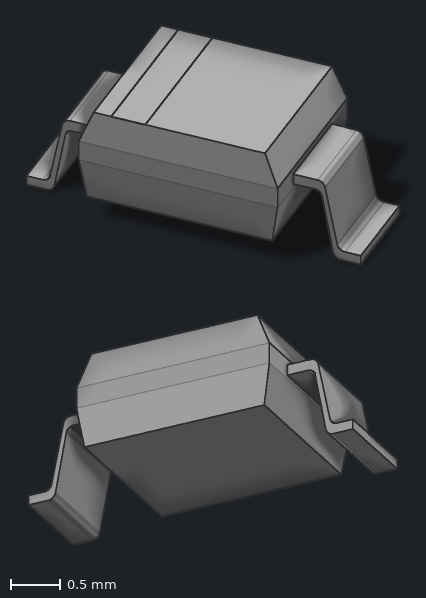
import cadquery as cq

total_length = 3.7

belt_length = 2.2
belt_width = 1.8
belt_bottom_z = 0.75
belt_top_z = 0.98
package_bottom_z = 0.3
package_top_z = 1.35
face_width = 1.73
top_face_length = 1.895
bottom_face_length = 2.05

band_left_x = -0.755
band_width = 0.377
band_depth = 0.005

lead_width = 1.0
foot_thickness = 0.11
arm_bottom_z = 0.79
arm_top_z = 0.91
bend_radius = 0.085
leg_outer_top = 0.41
leg_outer_bottom = 0.248
leg_inner_top = 0.445
leg_inner_bottom = 0.295


def frustum(start_z, start_size, end_z, end_size):
    """Tapered block between two centred rectangles."""
    return (
        cq.Workplane("XY", origin=(0, 0, start_z))
        .rect(*start_size)
        .workplane(offset=end_z - start_z)
        .rect(*end_size)
        .loft(ruled=True)
    )


def make_package():
    belt_size = (belt_length, belt_width)
    lower = frustum(package_bottom_z, (bottom_face_length, face_width), belt_bottom_z, belt_size)
    belt = frustum(belt_bottom_z, belt_size, belt_top_z, belt_size)
    upper = frustum(belt_top_z, belt_size, package_top_z, (top_face_length, face_width))
    return lower.union(belt).union(upper)


def make_left_lead():
    """Bent lead from its foot tip to the end wall of the package."""
    tip_x = -total_length / 2
    wall_x = -belt_length / 2
    outline = [
        (tip_x, 0),
        (tip_x + leg_inner_bottom, 0),
        (tip_x + leg_inner_top, arm_bottom_z),
        (wall_x, arm_bottom_z),
        (wall_x, arm_top_z),
        (tip_x + leg_outer_top, arm_top_z),
        (tip_x + leg_outer_bottom, foot_thickness),
        (tip_x, foot_thickness),
    ]
    bends = [outline[1], outline[2], outline[5], outline[6]]
    lead = cq.Workplane("XZ").polyline(outline).close().extrude(lead_width / 2, both=True)
    for x, z in bends:
        edge = cq.selectors.NearestToPointSelector((x, 0, z))
        lead = lead.edges("|Y").edges(edge).fillet(bend_radius)
    return lead


def make_band():
    """Straight-sided inlay that spans the full width of the top face."""
    return (
        cq.Workplane("XY", origin=(band_left_x + band_width / 2, 0, package_top_z))
        .rect(band_width, face_width)
        .extrude(-band_depth)
    )


def make_leaded_package(band):
    """Package and both leads as one piece, with a recess for the band."""
    left_lead = make_left_lead()
    right_lead = left_lead.mirror("YZ")
    return make_package().union(left_lead).union(right_lead).cut(band)


polarity_band = make_band()
leaded_package = make_leaded_package(polarity_band)

result = cq.Compound.makeCompound([leaded_package.solids().val(), polarity_band.val()])